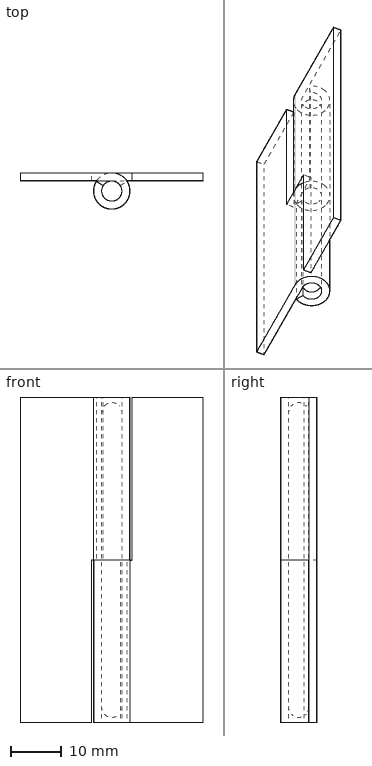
import cadquery as cq
import math

height = 64.0
width = 36.0
sheet_thickness = 1.6
pin_radius = 2.0
edge_gap = 0.4
pin_recess = 1.0
curl_end_angle = 148.0

barrel_radius = pin_radius + sheet_thickness
half_height = height / 2
half_width = width / 2
leaf_edge = barrel_radius + edge_gap


def polar(radius, degrees):
    """Point at a given distance and direction from the pin axis."""
    angle = math.radians(degrees)
    return (radius * math.cos(angle), radius * math.sin(angle))


def make_upper_leaf():
    """Left-hand leaf: a full-height plate whose upper half curls around the pin."""
    curled_half = (
        cq.Workplane("XY")
        .moveTo(-half_width, barrel_radius)
        .lineTo(0, barrel_radius)
        .threePointArc((0, -barrel_radius), polar(barrel_radius, curl_end_angle))
        .lineTo(*polar(pin_radius, curl_end_angle))
        .threePointArc((0, -pin_radius), (0, pin_radius))
        .lineTo(-half_width, pin_radius)
        .close()
        .extrude(half_height)
    )
    flat_half = cq.Workplane("XY").box(
        half_width - leaf_edge, sheet_thickness, half_height, centered=False
    ).translate((-half_width, pin_radius, -half_height))
    return curled_half.union(flat_half)


def make_lower_leaf():
    """Right-hand leaf: the same shape turned half a turn about the Y axis."""
    return make_upper_leaf().rotate((0, 0, 0), (0, 1, 0), 180)


def make_pin():
    """Round pin with a hemispherical tip at each end, recessed in the barrels."""
    pin_length = height - 2 * pin_recess
    shaft_length = pin_length - 2 * pin_radius
    pin_body = cq.Workplane("XY").circle(pin_radius).extrude(shaft_length / 2, both=True)
    for tip_z in (-shaft_length / 2, shaft_length / 2):
        tip = cq.Workplane("XY").sphere(pin_radius).translate((0, 0, tip_z))
        pin_body = pin_body.union(tip)
    return pin_body


upper_leaf = make_upper_leaf()
lower_leaf = make_lower_leaf()
pin = make_pin()

result = cq.Compound.makeCompound([upper_leaf.val(), lower_leaf.val(), pin.val()])